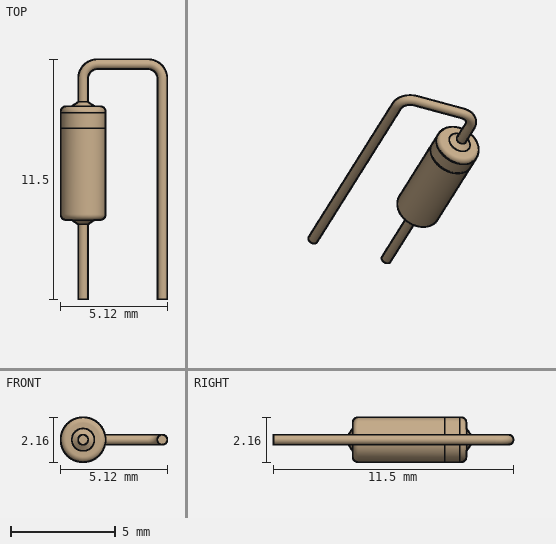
import cadquery as cq

overall_length = 11.51
lead_diameter = 0.48
lead_pitch = 3.8
bend_radius = 0.69

case_diameter = 2.16
case_start = 3.8
case_length = 5.45
case_edge_radius = 0.26
cone_height = 0.21
cone_base_diameter = 1.08

band_start = 8.21
band_end = 8.93
band_thickness = 0.06

lead_radius = lead_diameter / 2
case_radius = case_diameter / 2
case_end = case_start + case_length
near_tip = case_start - cone_height
far_tip = case_end + cone_height


def make_band():
    """Thin ring set into the case."""
    ring = (
        cq.Workplane("XZ", origin=(0, band_start, 0))
        .circle(case_radius)
        .circle(case_radius - band_thickness)
        .extrude(-(band_end - band_start))
    )
    return ring


def make_case(band):
    """Rounded cylinder with a cone at each end and a groove for the band."""
    cone_base_radius = cone_base_diameter / 2
    barrel = (
        cq.Workplane("XZ", origin=(0, case_start, 0))
        .circle(case_radius)
        .extrude(-case_length)
        .edges("%CIRCLE")
        .fillet(case_edge_radius)
    )
    near_cone = cq.Solid.makeCone(
        lead_radius, cone_base_radius, cone_height, cq.Vector(0, near_tip, 0), cq.Vector(0, 1, 0)
    )
    far_cone = cq.Solid.makeCone(
        cone_base_radius, lead_radius, cone_height, cq.Vector(0, case_end, 0), cq.Vector(0, 1, 0)
    )
    return barrel.union(near_cone).union(far_cone).cut(band).solids()


def make_straight_lead():
    """Straight wire ending at the near cone tip."""
    return cq.Workplane("XZ").circle(lead_radius).extrude(-near_tip)


def make_bent_lead():
    """Wire from the far cone tip, bent back in a U parallel to the case."""
    crossbar_y = overall_length - lead_radius
    bend_start_y = crossbar_y - bend_radius
    path = (
        cq.Workplane("XY")
        .moveTo(0, far_tip)
        .lineTo(0, bend_start_y)
        .radiusArc((bend_radius, crossbar_y), bend_radius)
        .lineTo(lead_pitch - bend_radius, crossbar_y)
        .radiusArc((lead_pitch, bend_start_y), bend_radius)
        .lineTo(lead_pitch, 0)
    )
    return cq.Workplane("XZ", origin=(0, far_tip, 0)).circle(lead_radius).sweep(path)


band = make_band()
case = make_case(band)
straight_lead = make_straight_lead()
bent_lead = make_bent_lead()

result = cq.Compound.makeCompound([case.val(), band.val(), straight_lead.val(), bent_lead.val()])